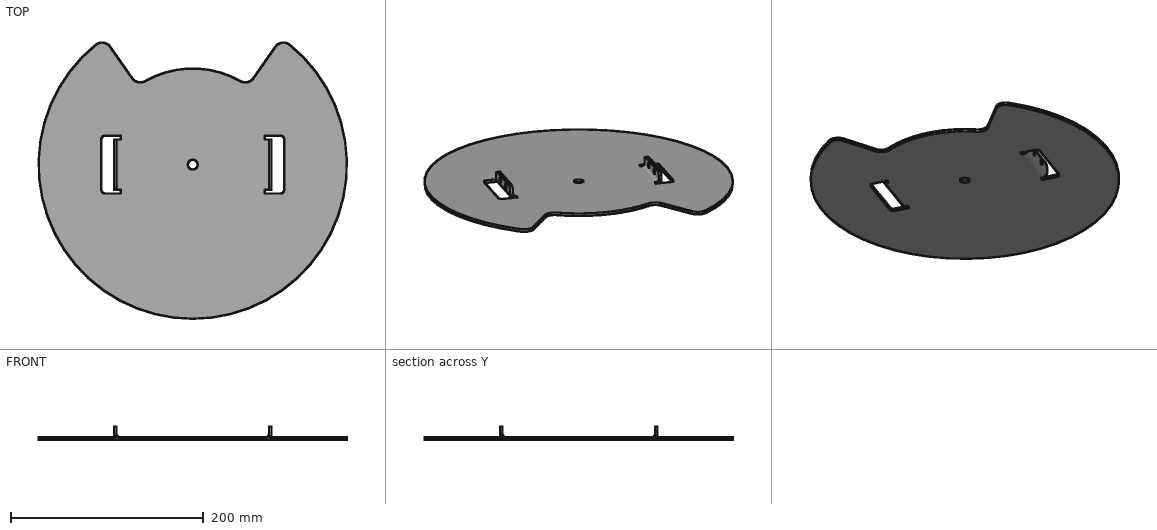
import cadquery as cq
import math

plate_radius = 160.0
sheet = 3.0
part_height = 14.0
center_hole_diameter = 10.0

cutaway_radius = 100.0
cutaway_half_angle = 35.0
cutaway_fillet = 10.2

tab_outer_x = 82.0
tab_width = 52.0
tab_corner_radius = 5.0
bend_inner_radius = sheet
bend_outer_radius = bend_inner_radius + sheet
bend_x = tab_outer_x - bend_outer_radius
bend_z = sheet + bend_inner_radius

tab_hole_diameter = 5.0
tab_hole_spacing = 20.0
tab_hole_z = part_height - 5.0

window_inner_x = 75.0
window_outer_x = 94.7
window_width = 60.0
window_corner_radius = 4.0


def make_plate():
    """Disc with a radial-sided cutaway, rounded ears and a center hole."""
    disc = cq.Workplane("XY").circle(plate_radius).extrude(sheet)
    reach = 2 * plate_radius
    side_x = reach * math.sin(math.radians(cutaway_half_angle))
    side_y = reach * math.cos(math.radians(cutaway_half_angle))
    sector = (
        cq.Workplane("XY")
        .polyline([(0, 0), (side_x, side_y), (-side_x, side_y)])
        .close()
        .extrude(sheet)
    )
    core = cq.Workplane("XY").circle(cutaway_radius).extrude(sheet)
    plate = disc.cut(sector.cut(core))

    corners = cq.selectors.BoxSelector(
        (-plate_radius, cutaway_radius / 2, -sheet),
        (plate_radius, plate_radius, 2 * sheet),
    )
    plate = plate.edges("|Z").edges(corners).fillet(cutaway_fillet)
    return plate.faces(">Z").workplane(origin=(0, 0, sheet)).hole(center_hole_diameter)


def make_window():
    """Cutter for the +X window, rounded on its outer corners."""
    return (
        cq.Workplane("XY")
        .box(window_outer_x - window_inner_x, window_width, sheet, centered=(False, True, False))
        .translate((window_inner_x, 0, 0))
        .edges("|Z and >X")
        .fillet(window_corner_radius)
    )


def make_tab():
    """The +X tab: flat root, quarter-circle bend and drilled upright."""
    tab_inner_x = tab_outer_x - sheet
    root_x = window_inner_x - sheet
    diagonal = math.sqrt(0.5)
    tab = (
        cq.Workplane("XZ")
        .moveTo(root_x, 0)
        .lineTo(bend_x, 0)
        .threePointArc(
            (bend_x + bend_outer_radius * diagonal, bend_z - bend_outer_radius * diagonal),
            (tab_outer_x, bend_z),
        )
        .lineTo(tab_outer_x, part_height)
        .lineTo(tab_inner_x, part_height)
        .lineTo(tab_inner_x, bend_z)
        .threePointArc(
            (bend_x + bend_inner_radius * diagonal, bend_z - bend_inner_radius * diagonal),
            (bend_x, sheet),
        )
        .lineTo(root_x, sheet)
        .close()
        .extrude(tab_width / 2, both=True)
    )
    tab = tab.faces(">Z").edges("|X").fillet(tab_corner_radius)
    holes = (
        cq.Workplane("YZ", origin=(bend_x, 0, 0))
        .pushPoints([(side * tab_hole_spacing / 2, tab_hole_z) for side in (-1, 1)])
        .circle(tab_hole_diameter / 2)
        .extrude(2 * bend_outer_radius)
    )
    return tab.cut(holes)


window = make_window()
tab = make_tab()
result = make_plate().cut(window).cut(window.mirror("YZ"))
result = result.union(tab).union(tab.mirror("YZ"))